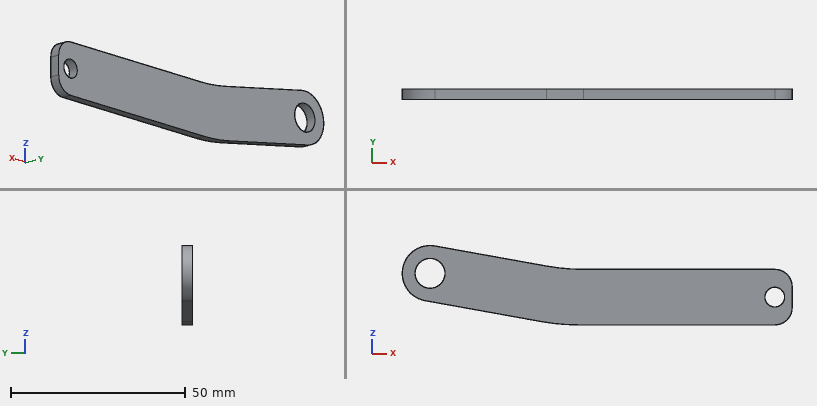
import cadquery as cq
import math

length = 111.9
thickness = 3.1
height = 22.8
arm_width = 16.0
slope_angle = 10.2
bend_radius = 60.0
corner_radius = 5.0
large_hole_diameter = 8.5
small_hole_diameter = 5.6
small_hole_inset = 5.0

half_width = arm_width / 2
slope = math.radians(slope_angle)

eye_x = half_width
eye_z = height - half_width
bend_x = eye_x + (eye_z - half_width) / math.tan(slope)
edge_bend_shift = half_width * math.tan(slope / 2)


def eye_rim(angle):
    """Point on the round end, with the angle measured from +X."""
    return (eye_x + half_width * math.cos(angle), eye_z + half_width * math.sin(angle))


def bend_points(vertex_x, edge_z):
    """Start, middle and end of the bend, whose centre lies above the edge."""
    tangent = bend_radius * math.tan(slope / 2)
    end_x = vertex_x + tangent
    centre_z = edge_z + bend_radius

    def point(angle):
        return (end_x - bend_radius * math.sin(angle), centre_z - bend_radius * math.cos(angle))

    return point(slope), point(slope / 2), point(0)


def make_plate():
    upper_start, upper_mid, upper_end = bend_points(bend_x + edge_bend_shift, arm_width)
    lower_start, lower_mid, lower_end = bend_points(bend_x - edge_bend_shift, 0)
    upper_rim = eye_rim(math.pi / 2 - slope)
    far_rim = eye_rim(math.pi - slope)
    lower_rim = eye_rim(1.5 * math.pi - slope)
    plate = (
        cq.Workplane("XZ")
        .moveTo(*upper_rim)
        .lineTo(*upper_start)
        .threePointArc(upper_mid, upper_end)
        .lineTo(length, arm_width)
        .lineTo(length, 0)
        .lineTo(*lower_end)
        .threePointArc(lower_mid, lower_start)
        .lineTo(*lower_rim)
        .threePointArc(far_rim, upper_rim)
        .close()
        .extrude(-thickness)
    )
    return plate.edges("|Y and >X").fillet(corner_radius)


def make_hole(x, z, diameter):
    return cq.Workplane("XZ").center(x, z).circle(diameter / 2).extrude(-thickness)


result = (
    make_plate()
    .cut(make_hole(eye_x, eye_z, large_hole_diameter))
    .cut(make_hole(length - small_hole_inset, half_width, small_hole_diameter))
)